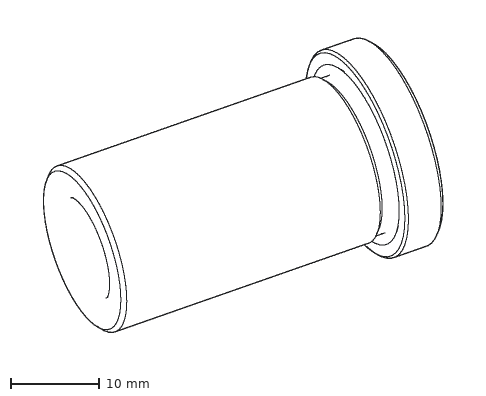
import math

import cadquery as cq

length = 40.0
head_diameter = 25.0
head_thickness = 5.0
body_diameter = 20.0
bore_diameter = 12.0

back_chamfer = 0.5
shoulder_chamfer = 0.3
entry_radius = 1.0

neck_length = 1.5
neck_depth = 0.5
relief_mouth_radius = 10.8
relief_fillet = 0.5

head_radius = head_diameter / 2
body_radius = body_diameter / 2
bore_radius = bore_diameter / 2
neck_radius = body_radius - neck_depth

back = length / 2
tip = -length / 2
shoulder = back - head_thickness
neck_end = shoulder - neck_length

half_diagonal = math.sqrt(0.5)
wall_tangent_radius = neck_radius + relief_fillet * (1 + half_diagonal)
wall_tangent = shoulder + relief_mouth_radius - wall_tangent_radius
neck_tangent = wall_tangent - relief_fillet * half_diagonal
fillet_top = neck_tangent + relief_fillet
fillet_top_radius = neck_radius + relief_fillet


def bush_profile():
    """Half section from the bore outwards, in the XY plane."""
    return (
        cq.Workplane("XY")
        .moveTo(bore_radius, back)
        .lineTo(head_radius - back_chamfer, back)
        .lineTo(head_radius, back - back_chamfer)
        .lineTo(head_radius, shoulder + shoulder_chamfer)
        .lineTo(head_radius - shoulder_chamfer, shoulder)
        .lineTo(relief_mouth_radius, shoulder)
        .lineTo(wall_tangent_radius, wall_tangent)
        .threePointArc((fillet_top_radius, fillet_top), (neck_radius, neck_tangent))
        .lineTo(neck_radius, neck_end)
        .lineTo(body_radius, neck_end - neck_depth)
        .lineTo(body_radius, tip + back_chamfer)
        .lineTo(body_radius - back_chamfer, tip)
        .lineTo(bore_radius + entry_radius, tip)
        .radiusArc((bore_radius, tip + entry_radius), entry_radius)
        .close()
    )


result = bush_profile().revolve(360, (0, 0, 0), (0, 1, 0))